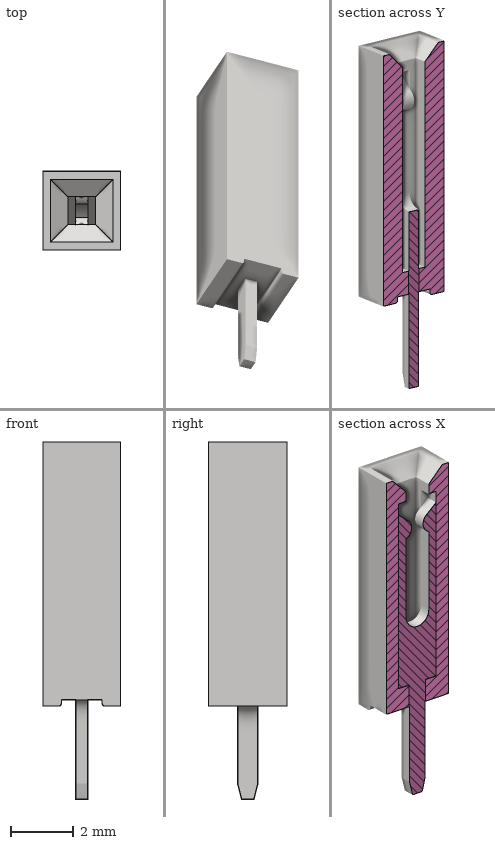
import cadquery as cq
import math

housing_width = 2.5
housing_depth = 2.54
housing_height = 8.5

notch_width = 1.3
notch_height = 0.2
foot_rounding = 0.1

mouth_size = 2.0
cavity_size = 0.9
funnel_height = (mouth_size - cavity_size) / 2
cavity_floor_z = 1.0

contact_thickness = 0.4
fork_width = 1.5
fork_bottom_z = cavity_floor_z
fork_gap_radius = 0.45
fork_gap_bottom_z = 3.0
contact_bump_gap = 0.44
contact_bump_radius = 0.36
contact_bump_z = 6.6
lead_in_angle = math.radians(40)

tail_width = 0.65
tail_length = 3.0
tail_tip_width = 0.4
tail_tip_length = 0.5

slot_top_z = 7.6


def centred_box(x_size, y_size, bottom_z, top_z):
    """A box centred on the Z axis between two heights."""
    box = cq.Workplane("XY").box(x_size, y_size, top_z - bottom_z, centered=(True, True, False))
    return box.translate((0, 0, bottom_z))


def make_funnel():
    """Tapered lead-in volume from the mouth down to the cavity."""
    return (
        cq.Workplane("XY")
        .workplane(offset=housing_height - funnel_height)
        .rect(cavity_size, cavity_size)
        .workplane(offset=funnel_height)
        .rect(mouth_size, mouth_size)
        .loft(ruled=True)
    )


def make_housing():
    """Footed block with the cavity, the fork slots and the tail hole removed."""
    block = centred_box(housing_width, housing_depth, 0, housing_height)
    block = block.cut(centred_box(notch_width, housing_depth, 0, notch_height))
    for side in (-1, 1):
        foot_edge = cq.selectors.NearestToPointSelector((side * notch_width / 2, 0, 0))
        block = block.edges(foot_edge).fillet(foot_rounding)

    cavity = centred_box(cavity_size, cavity_size, cavity_floor_z, housing_height - funnel_height)
    fork_slot = centred_box(contact_thickness, fork_width, fork_bottom_z, slot_top_z)
    tail_hole = centred_box(contact_thickness, tail_width, 0, fork_bottom_z)
    return block.cut(make_funnel()).cut(cavity).cut(fork_slot).cut(tail_hole)


def make_fork():
    """Fork with two prongs whose rounded bumps face each other near the tips."""
    outer_y = fork_width / 2
    bump_tip_y = contact_bump_gap / 2
    bump_centre_y = bump_tip_y + contact_bump_radius

    flank_y = bump_centre_y - contact_bump_radius * math.sin(lead_in_angle)
    flank_rise = contact_bump_radius * math.cos(lead_in_angle)
    slope = math.tan(lead_in_angle)
    prong_top_z = contact_bump_z + flank_rise + (outer_y - flank_y) * slope
    bump_foot_z = contact_bump_z - flank_rise - (fork_gap_radius - flank_y) * slope
    gap_centre_z = fork_gap_bottom_z + fork_gap_radius

    outline = (
        cq.Workplane("YZ")
        .moveTo(-outer_y, fork_bottom_z)
        .lineTo(outer_y, fork_bottom_z)
        .lineTo(outer_y, prong_top_z)
        .lineTo(flank_y, contact_bump_z + flank_rise)
        .threePointArc((bump_tip_y, contact_bump_z), (flank_y, contact_bump_z - flank_rise))
        .lineTo(fork_gap_radius, bump_foot_z)
        .lineTo(fork_gap_radius, gap_centre_z)
        .threePointArc((0, fork_gap_bottom_z), (-fork_gap_radius, gap_centre_z))
        .lineTo(-fork_gap_radius, bump_foot_z)
        .lineTo(-flank_y, contact_bump_z - flank_rise)
        .threePointArc((-bump_tip_y, contact_bump_z), (-flank_y, contact_bump_z + flank_rise))
        .lineTo(-outer_y, prong_top_z)
        .close()
    )
    return outline.extrude(contact_thickness / 2, both=True)


def make_tail():
    """Flat tail whose end narrows in Y to a blunt tip."""
    taper_z = -tail_length + tail_tip_length
    outline = (
        cq.Workplane("YZ")
        .moveTo(-tail_width / 2, fork_bottom_z)
        .lineTo(tail_width / 2, fork_bottom_z)
        .lineTo(tail_width / 2, taper_z)
        .lineTo(tail_tip_width / 2, -tail_length)
        .lineTo(-tail_tip_width / 2, -tail_length)
        .lineTo(-tail_width / 2, taper_z)
        .close()
    )
    return outline.extrude(contact_thickness / 2, both=True)


housing = make_housing()

contact = make_fork().union(make_tail())

result = cq.Compound.makeCompound([housing.val(), contact.val()])